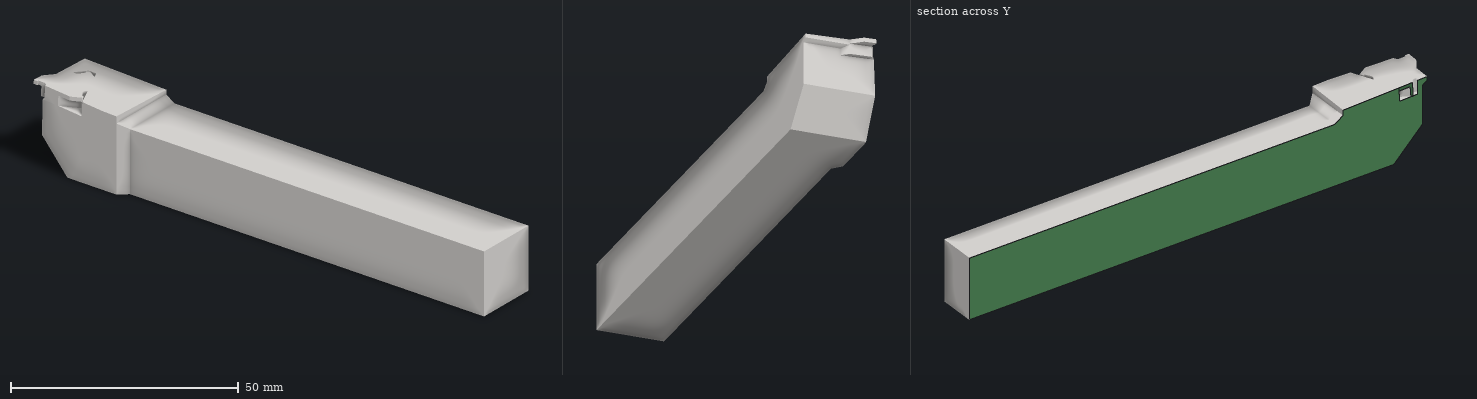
import cadquery as cq
import math

TOTAL_LENGTH = 125
SHANK_SIDE = 16.0

HEAD_STEP = 2.0
HEAD_HEIGHT = 20
HEAD_FRONT_X = 3.0
HEAD_LIP_X = 1.9
LIP_TOP_Z = 18.5
LIP_BOTTOM_Z = 17.8
HEAD_CHAMFER = 7.8
HEAD_BACK_X = 24.5
NECK_END_X = 26.8
NECK_TOP_Z = 17.5

FLANK_START_LOW_X = 12.0
FLANK_START_HIGH_X = 20.4
FLANK_START_HIGH_Z = 19.1
FLANK_TIP_SETBACK = 1.4
FLANK_TIP_Z = 16.5

INSERT_THICKNESS = 3.5
INSERT_CENTER = (6.6, 4.0)
TIP_COUNT = 3
TILT = 1.9
EDGE_LENGTH = 2.9
EDGE_THICKNESS = 1.0
RELIEF_DEPTH = 1.9
TIP_WIDTH = 1.0
NOTCH_Y = 0.4
NOTCH_ARC_START_X = 2.2
NOTCH_ARC_MID = (3.2, 0.1)
NOTCH_END = (3.6, -0.6)

POCKET_TOP_Y = 11.9
POCKET_LOW_Y = -5

CLEARANCE = 25

TIP_X = EDGE_THICKNESS * math.sin(math.radians(TILT))


def turned(point, tip):
    """Rotate a point of the first tip about the insert center to another tip."""
    angle = math.radians(tip * 360 / TIP_COUNT)
    dx = point[0] - INSERT_CENTER[0]
    dy = point[1] - INSERT_CENTER[1]
    return (
        INSERT_CENTER[0] + dx * math.cos(angle) - dy * math.sin(angle),
        INSERT_CENTER[1] + dx * math.sin(angle) + dy * math.cos(angle),
    )


def tilted(shape):
    """Tilt a shape about the tip and move its zero level to the top of the tool."""
    shape = shape.rotate((0, 0, 0), (0, 1, 0), TILT)
    shape = shape.rotate((0, 0, 0), (1, 0, 0), -TILT)
    return shape.translate((TIP_X, 0, HEAD_HEIGHT))


def point_at_y(start, end, y):
    """Point with the given Y on the line through two points."""
    share = (y - start[1]) / (end[1] - start[1])
    return (start[0] + share * (end[0] - start[0]), y)


def make_insert():
    outline = cq.Workplane("XY").workplane(offset=-INSERT_THICKNESS).moveTo(0, EDGE_LENGTH)
    for tip in range(TIP_COUNT):
        outline = (
            outline.lineTo(*turned((0, 0), tip))
            .lineTo(*turned((TIP_WIDTH, 0), tip))
            .lineTo(*turned((TIP_WIDTH, NOTCH_Y), tip))
            .lineTo(*turned((NOTCH_ARC_START_X, NOTCH_Y), tip))
            .threePointArc(turned(NOTCH_ARC_MID, tip), turned(NOTCH_END, tip))
        )
        if tip < TIP_COUNT - 1:
            outline = outline.lineTo(*turned((0, EDGE_LENGTH), tip + 1))
    insert = outline.close().extrude(INSERT_THICKNESS)

    relief = cq.Workplane("XY").box(
        RELIEF_DEPTH, CLEARANCE, INSERT_THICKNESS - EDGE_THICKNESS, centered=(False, True, False)
    ).translate((0, 0, -INSERT_THICKNESS))
    for tip in range(TIP_COUNT):
        angle = tip * 360 / TIP_COUNT
        insert = insert.cut(relief.rotate((*INSERT_CENTER, 0), (*INSERT_CENTER, 1), angle))
    return tilted(insert)


def make_pocket():
    last_tip = TIP_COUNT - 1
    front_side = (turned(NOTCH_END, last_tip), (0, EDGE_LENGTH))
    back_side = (turned(NOTCH_END, 1), turned((0, EDGE_LENGTH), last_tip))
    pocket = (
        cq.Workplane("XY")
        .workplane(offset=-INSERT_THICKNESS)
        .polyline([
            point_at_y(*front_side, POCKET_LOW_Y),
            point_at_y(*back_side, POCKET_LOW_Y),
            point_at_y(*back_side, POCKET_TOP_Y),
            point_at_y(*front_side, POCKET_TOP_Y),
        ])
        .close()
        .extrude(INSERT_THICKNESS + HEAD_STEP)
    )
    return tilted(pocket)


def make_head():
    head = (
        cq.Workplane("XZ", origin=(0, SHANK_SIDE, 0))
        .polyline([
            (HEAD_LIP_X, HEAD_HEIGHT),
            (HEAD_LIP_X, LIP_TOP_Z),
            (HEAD_FRONT_X, LIP_BOTTOM_Z),
            (HEAD_FRONT_X, HEAD_CHAMFER),
            (HEAD_FRONT_X + HEAD_CHAMFER, 0),
            (HEAD_BACK_X, 0),
            (HEAD_BACK_X, HEAD_HEIGHT),
        ])
        .close()
        .extrude(SHANK_SIDE + HEAD_STEP)
    )
    above_top = tilted(
        cq.Workplane("XY").box(4 * CLEARANCE, 4 * CLEARANCE, CLEARANCE, centered=(True, True, False))
    )
    return head.cut(above_top).cut(make_flank_cutter())


def make_flank_cutter():
    low = cq.Vector(FLANK_START_LOW_X, -HEAD_STEP, 0)
    high = cq.Vector(FLANK_START_HIGH_X, -HEAD_STEP, FLANK_START_HIGH_Z)
    tip = cq.Vector(HEAD_FRONT_X, FLANK_TIP_SETBACK - HEAD_STEP, FLANK_TIP_Z)
    along = high - low
    outward = along.cross(tip - low)
    if outward.y > 0:
        outward = -outward
    flank = cq.Plane(origin=low.toTuple(), xDir=along.toTuple(), normal=outward.toTuple())
    return cq.Workplane(flank).rect(4 * CLEARANCE, 4 * CLEARANCE).extrude(CLEARANCE)


def make_neck():
    """Tapered transition from the head down to the shank."""
    neck_width = SHANK_SIDE + HEAD_STEP
    return (
        cq.Workplane("YZ", origin=(HEAD_BACK_X, 0, 0))
        .center(SHANK_SIDE - neck_width / 2, NECK_TOP_Z / 2)
        .rect(neck_width, NECK_TOP_Z)
        .workplane(offset=NECK_END_X - HEAD_BACK_X)
        .center(HEAD_STEP / 2, (SHANK_SIDE - NECK_TOP_Z) / 2)
        .rect(SHANK_SIDE, SHANK_SIDE)
        .loft(ruled=True)
    )


def make_holder():
    shank = (
        cq.Workplane("XY")
        .box(TOTAL_LENGTH - NECK_END_X, SHANK_SIDE, SHANK_SIDE, centered=False)
        .translate((NECK_END_X, 0, 0))
    )
    return make_head().union(make_neck()).union(shank).cut(make_pocket())


holder = make_holder()
insert = make_insert()

result = cq.Compound.makeCompound([holder.val(), insert.val()])